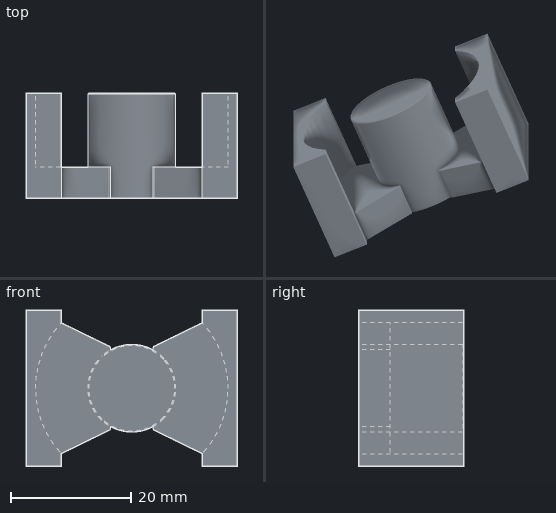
import cadquery as cq

width = 35.1
depth = 17.5
height = 26.0

base_thickness = 5.2
leg_thickness = 5.83
window_diameter = 32.0

post_diameter = 14.6
post_end_chamfer = 0.18

neck_half_width = 3.5
neck_half_height = 6.88
neck_corner_radius = 0.5

leg_inner_x = width / 2 - leg_thickness
window_radius = window_diameter / 2
shoulder_z = (window_radius**2 - leg_inner_x**2) ** 0.5


def along_depth(start, length):
    """X-Z workplane at the far end of a depth span; extruding by length runs back to start."""
    return cq.Workplane("XZ", origin=(0, start + length, 0))


def block(x_size, z_size, start, length):
    return along_depth(start, length).rect(x_size, z_size).extrude(length)


def cylinder(diameter, start, length):
    return along_depth(start, length).circle(diameter / 2).extrude(length)


def make_legs():
    """Two outer legs with a round winding window between them."""
    outer = block(width, height, 0, depth)
    gap = block(2 * leg_inner_x, height, 0, depth)
    window = cylinder(window_diameter, base_thickness, depth - base_thickness)
    return outer.cut(gap).cut(window)


def make_base():
    """Plate tapering from the leg shoulders to a narrow neck, closing the window floor."""
    outline = [
        (-width / 2, -shoulder_z),
        (-leg_inner_x, -shoulder_z),
        (-neck_half_width, -neck_half_height),
        (-neck_half_width, neck_half_height),
        (-leg_inner_x, shoulder_z),
        (-width / 2, shoulder_z),
    ]
    side = along_depth(0, base_thickness).polyline(outline).close().extrude(base_thickness)
    side = side.faces(">X").edges("|Y").fillet(neck_corner_radius)
    return side.union(side.mirror("YZ"))


def make_post():
    """Round centre post with a small chamfer on its free end."""
    return cylinder(post_diameter, 0, depth).faces(">Y").chamfer(post_end_chamfer)


def make_neck_reliefs():
    """Openings above and below the neck, where only the post remains."""
    reliefs = block(2 * neck_half_width, height, 0, base_thickness)
    return reliefs.cut(cylinder(post_diameter, 0, base_thickness))


result = make_legs().union(make_base()).union(make_post()).cut(make_neck_reliefs())